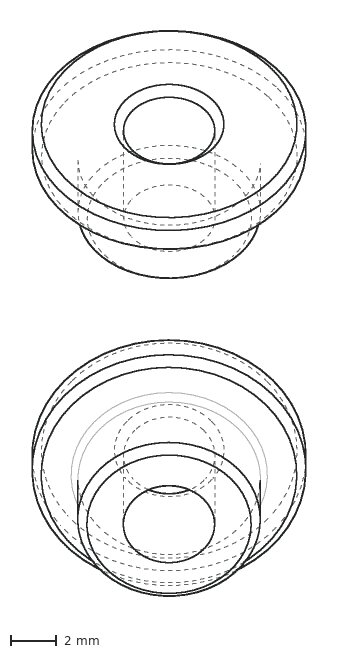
import cadquery as cq

flange_diameter = 12.0
body_diameter = flange_diameter * 2 / 3
bore_diameter = flange_diameter / 3
total_height = 6.0
flange_thickness = total_height / 3

chamfer = flange_thickness / 5
neck_fillet = 0.3

flange_radius = flange_diameter / 2
body_radius = body_diameter / 2
bore_radius = bore_diameter / 2
body_height = total_height - flange_thickness


def bushing_blank():
    """Cylindrical body with chamfered foot and a chamfered flange on top."""
    body = cq.Workplane("XY").circle(body_radius).extrude(body_height)
    body = body.faces("<Z").edges().chamfer(chamfer)
    flange = cq.Workplane("XY").workplane(offset=body_height)
    flange = flange.circle(flange_radius).extrude(flange_thickness)
    flange = flange.edges().chamfer(chamfer)
    return body.union(flange)


def round_neck(part):
    """Fillet the inside corner where the body meets the flange."""
    corner = cq.selectors.RadiusNthSelector(0)
    underside = part.faces(cq.selectors.NearestToPointSelector((0, 0, body_height)))
    neck_edges = underside.edges(corner)
    return part.newObject(neck_edges.vals()).fillet(neck_fillet)


def bore_cutter():
    """Through bore with a countersunk mouth at the top."""
    bore = cq.Workplane("XY").circle(bore_radius).extrude(total_height)
    mouth = cq.Workplane("XY").workplane(offset=total_height)
    mouth = mouth.circle(bore_radius + chamfer).extrude(-chamfer, taper=45)
    return bore.union(mouth)


result = round_neck(bushing_blank()).cut(bore_cutter())